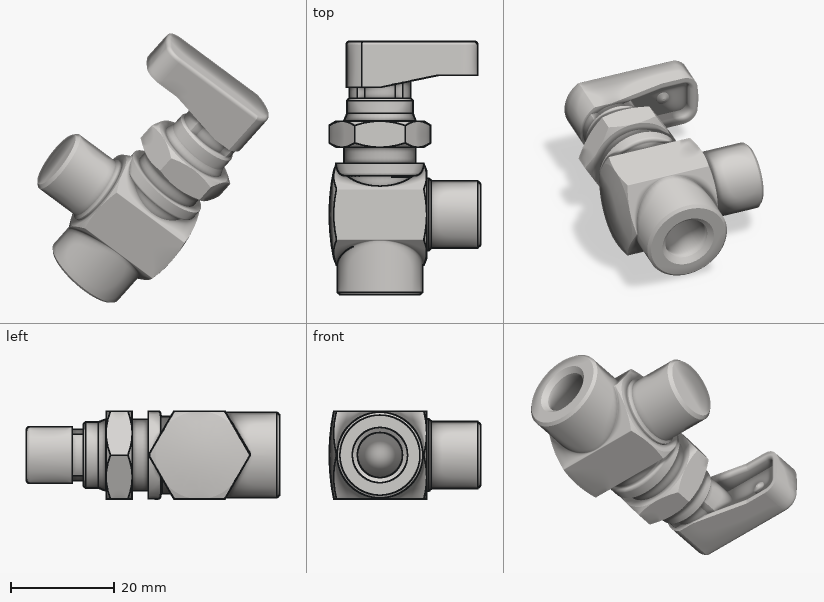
import cadquery as cq
import math


HEX_FLATS = 17.0
FLAT_RADIUS = HEX_FLATS / 2
CORNER_RADIUS = FLAT_RADIUS / math.cos(math.radians(30))

SELECTION_MARGIN = 0.05

DOME_TIP_X = -CORNER_RADIUS
DOME_RISE = 0.9
BLOCK_END_X = 9.0
BLOCK_CORNER_DROP = 0.55
BLOCK_EDGE_BREAK = 0.15
INLET_ROOT_FILLET = 0.15

INLET_END_Y = -15.55
INLET_RADIUS = 8.3
INLET_CHAMFER = 0.55
INLET_BORE_RADIUS = 4.35
INLET_COUNTERSINK = 1.0

NECK_RADIUS = 7.5
FLANGE_BOTTOM_Y = 7.5
FLANGE_TOP_Y = 9.9
FLANGE_FILLET = 0.55
NECK_FILLET = 0.3
THREAD_RADIUS = 6.95
BONNET_TOP_Y = 19.55
BONNET_TOP_RADIUS = 6.35
BONNET_CONE_LENGTH = 1.45

OUTLET_END_X = 19.5
OUTLET_RADIUS = 6.5
OUTLET_CHAMFER = 0.65
SHOULDER_RADIUS = 7.0
SHOULDER_LENGTH = 0.45
SPIGOT_RADIUS = 6.1
SPIGOT_END_X = -6.1

NUT_BOTTOM_Y = 13.0
NUT_TOP_Y = 18.05
NUT_CORNER_DROP = 0.85

GLAND_RADIUS = 6.4
GLAND_TOP_Y = 22.45
GLAND_CHAMFER = 0.45

STEM_RADIUS = 5.0
LUG_RADIUS = 6.0
LUG_WIDTH = 8.1

HANDLE_BOTTOM_Y = 24.55
HANDLE_TOP_Y = 33.45
HANDLE_HUB_RADIUS = 6.5
HANDLE_WIDTH = 11.0
HANDLE_END_X = 18.95
HANDLE_CORNER_RADIUS = 3.05
HANDLE_TIP_BULGE = 0.15
HANDLE_TOP_FILLET = 0.75
HANDLE_SLOPE_END_X = 11.35
HANDLE_TIP_BOTTOM_Y = 26.9
HANDLE_WALL = 1.5
POCKET_FLOOR_Y = 29.4
POCKET_LIP_FILLET = 0.7

SCREW_X = 12.5
SCREW_HEAD_RADIUS = 1.5
SCREW_DEPTH = 1.95
SCREW_TIP_RADIUS = 1.25
SCREW_TIP_HEIGHT = 0.75
SCREW_CONE_LENGTH = 0.5
SCREW_CONE_INSET = 1.0


def cylinder_y(radius, y_start, y_end, x=0.0):
    """Cylinder along Y between two heights."""
    base = cq.Vector(x, y_start, 0)
    return cq.Workplane(cq.Solid.makeCylinder(radius, y_end - y_start, base, cq.Vector(0, 1, 0)))


def cylinder_x(radius, x_start, x_end):
    """Cylinder along X between two stations."""
    base = cq.Vector(x_start, 0, 0)
    return cq.Workplane(cq.Solid.makeCylinder(radius, x_end - x_start, base, cq.Vector(1, 0, 0)))


def make_block():
    """Hexagonal bar along X with one domed end and trimmed corners."""
    rim_x = DOME_TIP_X + DOME_RISE
    bar = (
        cq.Workplane("YZ", origin=(DOME_TIP_X, 0, 0))
        .polygon(6, 2 * CORNER_RADIUS)
        .extrude(BLOCK_END_X - DOME_TIP_X)
        .edges("|X")
        .fillet(BLOCK_EDGE_BREAK)
    )
    dome_radius = (FLAT_RADIUS**2 + DOME_RISE**2) / (2 * DOME_RISE)
    half_angle = math.asin(FLAT_RADIUS / dome_radius) / 2
    dome_middle = (
        DOME_TIP_X + dome_radius * (1 - math.cos(half_angle)),
        dome_radius * math.sin(half_angle),
    )
    envelope = (
        cq.Workplane("XY")
        .moveTo(DOME_TIP_X, 0)
        .threePointArc(dome_middle, (rim_x, FLAT_RADIUS))
        .lineTo(rim_x + BLOCK_CORNER_DROP, CORNER_RADIUS)
        .lineTo(BLOCK_END_X - BLOCK_CORNER_DROP, CORNER_RADIUS)
        .lineTo(BLOCK_END_X, FLAT_RADIUS)
        .lineTo(BLOCK_END_X, 0)
        .close()
        .revolve(360, (0, 0, 0), (1, 0, 0))
    )
    return bar.intersect(envelope)


def make_bonnet():
    """Neck, flange and threaded barrel on the +Y side of the body."""
    neck = cylinder_y(NECK_RADIUS, 0, FLANGE_BOTTOM_Y)
    flange = cylinder_y(FLAT_RADIUS, FLANGE_BOTTOM_Y, FLANGE_TOP_Y).edges("<Y").fillet(FLANGE_FILLET)
    underside = cq.selectors.BoxSelector(
        (-NECK_RADIUS, FLANGE_BOTTOM_Y - SELECTION_MARGIN, -NECK_RADIUS),
        (NECK_RADIUS, FLANGE_BOTTOM_Y + SELECTION_MARGIN, NECK_RADIUS),
    )
    smallest_circle = cq.selectors.RadiusNthSelector(0)
    collar = neck.union(flange).edges(underside).edges(smallest_circle).fillet(NECK_FILLET)
    barrel = (
        cylinder_y(THREAD_RADIUS, FLANGE_TOP_Y, BONNET_TOP_Y)
        .edges(">Y")
        .chamfer(BONNET_CONE_LENGTH, THREAD_RADIUS - BONNET_TOP_RADIUS)
    )
    return collar.union(barrel)


def make_body():
    """Block with a bored inlet, the bonnet, and a hole for the connector spigot."""
    inlet = cylinder_y(INLET_RADIUS, INLET_END_Y, 0).edges("<Y").chamfer(INLET_CHAMFER)
    bore = cylinder_y(INLET_BORE_RADIUS, INLET_END_Y, 0)
    countersink = cq.Workplane(
        cq.Solid.makeCone(
            INLET_BORE_RADIUS + INLET_COUNTERSINK,
            INLET_BORE_RADIUS,
            INLET_COUNTERSINK,
            cq.Vector(0, INLET_END_Y, 0),
            cq.Vector(0, 1, 0),
        )
    )
    spigot_hole = cylinder_x(SPIGOT_RADIUS, SPIGOT_END_X, BLOCK_END_X)
    branched_block = make_block().union(inlet).edges("%ELLIPSE").fillet(INLET_ROOT_FILLET)
    return branched_block.union(make_bonnet()).cut(bore).cut(countersink).cut(spigot_hole)


def make_connector():
    """Outlet tube with a shoulder against the block and a spigot inside it."""
    cone_start_x = BLOCK_END_X + SHOULDER_LENGTH
    cone_end_x = cone_start_x + SHOULDER_RADIUS - OUTLET_RADIUS
    return (
        cq.Workplane("XY")
        .moveTo(SPIGOT_END_X, 0)
        .lineTo(SPIGOT_END_X, SPIGOT_RADIUS)
        .lineTo(BLOCK_END_X, SPIGOT_RADIUS)
        .lineTo(BLOCK_END_X, SHOULDER_RADIUS)
        .lineTo(cone_start_x, SHOULDER_RADIUS)
        .lineTo(cone_end_x, OUTLET_RADIUS)
        .lineTo(OUTLET_END_X - OUTLET_CHAMFER, OUTLET_RADIUS)
        .lineTo(OUTLET_END_X, OUTLET_RADIUS - OUTLET_CHAMFER)
        .lineTo(OUTLET_END_X, 0)
        .close()
        .revolve(360, (0, 0, 0), (1, 0, 0))
    )


def make_nut():
    """Hexagonal nut around the threaded barrel, corners trimmed on both faces."""
    bar = (
        cq.Workplane("XZ", origin=(0, NUT_TOP_Y, 0))
        .polygon(6, 2 * CORNER_RADIUS)
        .extrude(NUT_TOP_Y - NUT_BOTTOM_Y)
    )
    envelope = (
        cq.Workplane("XY")
        .moveTo(0, NUT_BOTTOM_Y)
        .lineTo(FLAT_RADIUS, NUT_BOTTOM_Y)
        .lineTo(CORNER_RADIUS, NUT_BOTTOM_Y + NUT_CORNER_DROP)
        .lineTo(CORNER_RADIUS, NUT_TOP_Y - NUT_CORNER_DROP)
        .lineTo(FLAT_RADIUS, NUT_TOP_Y)
        .lineTo(0, NUT_TOP_Y)
        .close()
        .revolve(360, (0, 0, 0), (0, 1, 0))
    )
    hole = cylinder_y(THREAD_RADIUS, NUT_BOTTOM_Y, NUT_TOP_Y)
    return bar.intersect(envelope).cut(hole)


def make_gland():
    """Chamfered collar seated on top of the bonnet."""
    return cylinder_y(GLAND_RADIUS, BONNET_TOP_Y, GLAND_TOP_Y).edges(">Y").chamfer(GLAND_CHAMFER)


def make_stem():
    """Round stem with two opposite stop lugs, reaching up to the pocket floor."""
    length = POCKET_FLOOR_Y - GLAND_TOP_Y
    core = cylinder_y(STEM_RADIUS, GLAND_TOP_Y, POCKET_FLOOR_Y)
    middle_y = GLAND_TOP_Y + length / 2
    lug_slab = cq.Workplane("XY", origin=(0, middle_y, 0)).box(2 * LUG_RADIUS, length, LUG_WIDTH)
    lugs = cylinder_y(LUG_RADIUS, GLAND_TOP_Y, POCKET_FLOOR_Y).intersect(lug_slab)
    return core.union(lugs)


def make_lever():
    """Solid lever: round at the hub, rounded corners at the tip, underside sloping up."""
    half_width = HANDLE_WIDTH / 2
    shoulder_x = -math.sqrt(HANDLE_HUB_RADIUS**2 - half_width**2)
    corner_end_x = HANDLE_END_X - HANDLE_TIP_BULGE
    corner_start_x = corner_end_x - HANDLE_CORNER_RADIUS
    corner_z = half_width - HANDLE_CORNER_RADIUS
    blank = (
        cq.Workplane("XZ", origin=(0, HANDLE_TOP_Y, 0))
        .moveTo(shoulder_x, half_width)
        .lineTo(corner_start_x, half_width)
        .radiusArc((corner_end_x, corner_z), HANDLE_CORNER_RADIUS)
        .threePointArc((HANDLE_END_X, 0), (corner_end_x, -corner_z))
        .radiusArc((corner_start_x, -half_width), HANDLE_CORNER_RADIUS)
        .lineTo(shoulder_x, -half_width)
        .threePointArc((-HANDLE_HUB_RADIUS, 0), (shoulder_x, half_width))
        .close()
        .extrude(HANDLE_TOP_Y - HANDLE_BOTTOM_Y)
        .faces(">Y")
        .edges()
        .fillet(HANDLE_TOP_FILLET)
    )
    below_slope = (
        cq.Workplane("XY")
        .moveTo(0, HANDLE_BOTTOM_Y)
        .lineTo(HANDLE_SLOPE_END_X, HANDLE_TIP_BOTTOM_Y)
        .lineTo(HANDLE_END_X, HANDLE_TIP_BOTTOM_Y)
        .lineTo(HANDLE_END_X, HANDLE_BOTTOM_Y)
        .close()
        .extrude(half_width, both=True)
    )
    return blank.cut(below_slope)


def make_pocket():
    """Hollow under the lever, running from inside the stem to the tip wall."""
    width = HANDLE_WIDTH - 2 * HANDLE_WALL
    start_x = STEM_RADIUS / 2
    end_x = HANDLE_END_X - HANDLE_WALL
    return (
        cq.Workplane("XZ", origin=((start_x + end_x) / 2, POCKET_FLOOR_Y, 0))
        .rect(end_x - start_x, width)
        .extrude(POCKET_FLOOR_Y - HANDLE_BOTTOM_Y)
        .edges("|Y and >X")
        .fillet(HANDLE_CORNER_RADIUS - HANDLE_WALL)
    )


def make_handle(stem, screw):
    """Lever with a lipped pocket, a socket for the stem and a hole for the screw."""
    hollow = make_lever().cut(make_pocket())
    rim_half_width = HANDLE_WIDTH / 2 - HANDLE_WALL
    rim_box = cq.selectors.BoxSelector(
        (STEM_RADIUS, HANDLE_BOTTOM_Y, -rim_half_width - SELECTION_MARGIN),
        (
            HANDLE_END_X - HANDLE_WALL + SELECTION_MARGIN,
            HANDLE_TIP_BOTTOM_Y + SELECTION_MARGIN,
            rim_half_width + SELECTION_MARGIN,
        ),
    )
    lipped = hollow.edges(rim_box).fillet(POCKET_LIP_FILLET)
    return lipped.cut(stem).cut(screw)


def make_screw():
    """Screw flush with the pocket floor, with a small conical tip standing out."""
    shank = cylinder_y(SCREW_HEAD_RADIUS, POCKET_FLOOR_Y, POCKET_FLOOR_Y + SCREW_DEPTH, SCREW_X)
    tip = (
        cylinder_y(SCREW_TIP_RADIUS, POCKET_FLOOR_Y - SCREW_TIP_HEIGHT, POCKET_FLOOR_Y, SCREW_X)
        .edges("<Y")
        .chamfer(SCREW_CONE_LENGTH, SCREW_CONE_INSET)
    )
    return shank.union(tip)


body = make_body()
connector = make_connector()
nut = make_nut()
gland = make_gland()
stem = make_stem()
screw = make_screw()
handle = make_handle(stem, screw)

result = cq.Compound.makeCompound(
    [
        body.val(),
        connector.val(),
        nut.val(),
        gland.val(),
        stem.val(),
        handle.val(),
        screw.val(),
    ]
)